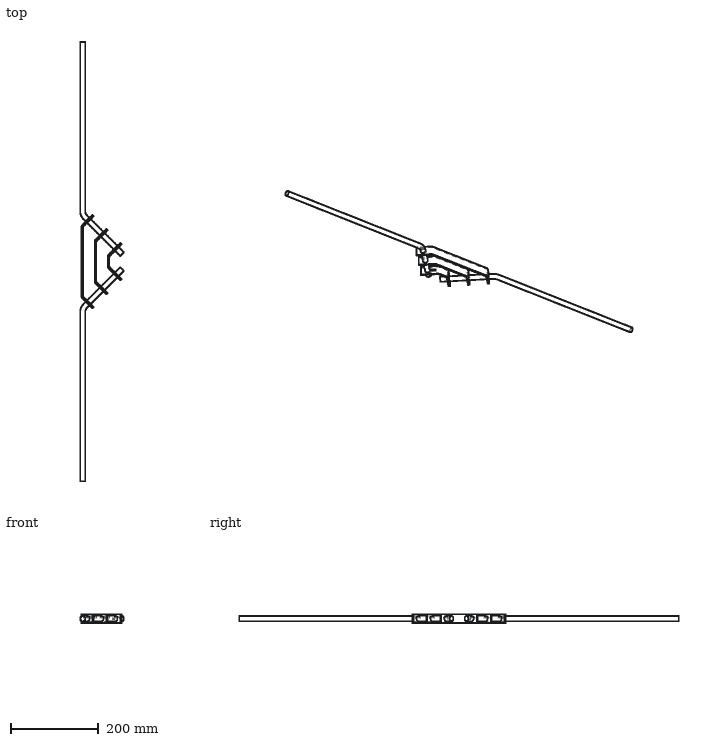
import cadquery as cq
import math

WIDTH = 100.0
LENGTH = 1000.0

ROD_DIAMETER = 12.0
BEND_ANGLE = 45.0
BEND_RADIUS = 20.0
BEND_START_Y = 115.0

PLATE_HEIGHT = 20.0
PLATE_THICKNESS = 4.0
PLATE_INNER_RADIUS = 3.0
PLATE_COUNT = 3
PLATE_PITCH = 30.0
LEG_PITCH_ALONG_ROD = 45.0
LEG_TIP_BEYOND_ROD_AXIS = 15.5
FIRST_PLATE_X = -47.0
FIRST_PLATE_HALF_LENGTH = 81.0

SLOT_LENGTH = 10.0
SLOT_WIDTH = 3.0
SLOT_FROM_CORNER = 12.0

rod_radius = ROD_DIAMETER / 2
rod_axis_x = -WIDTH / 2 + rod_radius
sine = math.sin(math.radians(BEND_ANGLE))
cosine = math.cos(math.radians(BEND_ANGLE))
half_angle = math.radians(BEND_ANGLE / 2)

rod_corner_y = BEND_START_Y - BEND_RADIUS * math.tan(half_angle)

half_length_step = (LEG_PITCH_ALONG_ROD - PLATE_PITCH * sine) / cosine


def across_rod(x, y):
    """Position of a point measured square to the slanted part of the +Y rod."""
    return x * cosine + y * sine


def make_rod():
    """Round rod along +Y, bent toward +X and -Y at its inner end, where its tip reaches the full width."""
    bend_middle = (
        rod_axis_x + BEND_RADIUS * (1 - math.cos(half_angle)),
        BEND_START_Y - BEND_RADIUS * math.sin(half_angle),
    )
    bend_end = (
        rod_axis_x + BEND_RADIUS * (1 - cosine),
        BEND_START_Y - BEND_RADIUS * sine,
    )
    tip_x = WIDTH / 2 - rod_radius * cosine
    tip_y = bend_end[1] - (tip_x - bend_end[0]) * cosine / sine
    axis = (
        cq.Workplane("XY")
        .moveTo(rod_axis_x, LENGTH / 2)
        .lineTo(rod_axis_x, BEND_START_Y)
        .threePointArc(bend_middle, bend_end)
        .lineTo(tip_x, tip_y)
    )
    outer_end = cq.Plane(origin=(rod_axis_x, LENGTH / 2, 0), xDir=(1, 0, 0), normal=(0, -1, 0))
    return cq.Workplane(outer_end).circle(rod_radius).sweep(axis)


def upright_edges_near(x, y):
    """Selector for the upright edges at the two mirrored points (x, y) and (x, -y)."""
    reach = PLATE_THICKNESS / 4
    boxes = [
        cq.selectors.BoxSelector(
            (x - reach, side * y - reach, -PLATE_HEIGHT),
            (x + reach, side * y + reach, PLATE_HEIGHT),
        )
        for side in (1, -1)
    ]
    return boxes[0] + boxes[1]


def make_plate(index):
    """Upright strip along Y, with a leg at each end bent square to the slanted rod it holds."""
    outer_x = FIRST_PLATE_X + index * PLATE_PITCH
    outer_y = FIRST_PLATE_HALF_LENGTH - index * half_length_step
    inner_x = outer_x + PLATE_THICKNESS
    inner_y = outer_y - PLATE_THICKNESS * math.tan(half_angle)

    tip_across = across_rod(rod_axis_x, rod_corner_y) + LEG_TIP_BEYOND_ROD_AXIS
    leg_length = tip_across - across_rod(outer_x, outer_y)
    outer_tip_x = outer_x + leg_length * cosine
    outer_tip_y = outer_y + leg_length * sine
    inner_tip_x = outer_tip_x + PLATE_THICKNESS * sine
    inner_tip_y = outer_tip_y - PLATE_THICKNESS * cosine

    plate = (
        cq.Workplane("XY")
        .moveTo(outer_tip_x, -outer_tip_y)
        .lineTo(outer_x, -outer_y)
        .lineTo(outer_x, outer_y)
        .lineTo(outer_tip_x, outer_tip_y)
        .lineTo(inner_tip_x, inner_tip_y)
        .lineTo(inner_x, inner_y)
        .lineTo(inner_x, -inner_y)
        .lineTo(inner_tip_x, -inner_tip_y)
        .close()
        .extrude(PLATE_HEIGHT / 2, both=True)
    )
    plate = plate.edges(upright_edges_near(inner_x, inner_y)).fillet(PLATE_INNER_RADIUS)
    outer_radius = PLATE_INNER_RADIUS + PLATE_THICKNESS
    return plate.edges(upright_edges_near(outer_x, outer_y)).fillet(outer_radius)


def make_slot_cutter(side):
    """Cutter for the slot through one leg of the shortest plate, on the +Y or -Y side."""
    index = PLATE_COUNT - 1
    slot_x = FIRST_PLATE_X + index * PLATE_PITCH + SLOT_FROM_CORNER * cosine
    slot_y = FIRST_PLATE_HALF_LENGTH - index * half_length_step + SLOT_FROM_CORNER * sine
    leg_face = cq.Plane(
        origin=(slot_x, side * slot_y, 0),
        xDir=(cosine, side * sine, 0),
        normal=(sine, -side * cosine, 0),
    )
    return cq.Workplane(leg_face).slot2D(SLOT_LENGTH, SLOT_WIDTH).extrude(2 * PLATE_THICKNESS, both=True)


rod = make_rod()
result = rod.union(rod.mirror("XZ"))
for plate_index in range(PLATE_COUNT):
    result = result.union(make_plate(plate_index))
for slot_side in (1, -1):
    result = result.cut(make_slot_cutter(slot_side))